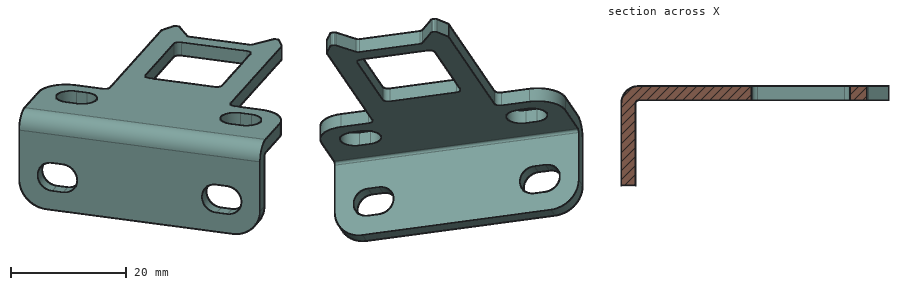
import cadquery as cq

sheet = 2.5
width = 44.0
depth = 46.2
height = 17.2
outer_bend_radius = 3.0
inner_bend_radius = outer_bend_radius - sheet
corner_radius = 5.0

slot_spacing = 30.0
slot_length = 7.2
slot_width = 5.2
plate_slot_from_front = 10.2
flange_slot_from_top = 11.0

shoulder_from_front = 15.4
arm_width = 22.0
arm_root_radius = 1.0

tooth_flank_length = 2.6
tooth_tip_inset = 1.5
tooth_tip_width = 0.8
tooth_tip_radius = 0.3
notch_depth = 3.8
notch_width = 11.6
notch_radius = 0.7

window_width = 14.0
window_length = 17.0
window_from_front = 22.5
window_radius = 1.0



def bent_sheet():
    """L-shaped sheet with a rounded bend, across the full width."""
    profile = (
        cq.Workplane("YZ")
        .moveTo(depth, 0)
        .lineTo(outer_bend_radius, 0)
        .radiusArc((0, -outer_bend_radius), -outer_bend_radius)
        .lineTo(0, -height)
        .lineTo(sheet, -height)
        .lineTo(sheet, -outer_bend_radius)
        .radiusArc((outer_bend_radius, -sheet), inner_bend_radius)
        .lineTo(depth, -sheet)
        .close()
    )
    return profile.extrude(width / 2, both=True)


def round_corners(body, x, y, radius):
    """Round the two mirrored vertical edges at (x, y) and (-x, y)."""
    for side in (-1, 1):
        corner = cq.selectors.NearestToPointSelector((side * x, y, -height / 2))
        body = body.edges("|Z").edges(corner).fillet(radius)
    return body


def plate_blank():
    """Flat outline of the horizontal leg, as a prism over the full height."""
    half_arm = arm_width / 2
    tip_outer = half_arm - tooth_tip_inset
    tip_inner = tip_outer - tooth_tip_width
    flank_start = depth - tooth_flank_length
    notch_floor = depth - notch_depth
    right_side = [
        (width / 2, 0),
        (width / 2, shoulder_from_front),
        (half_arm, shoulder_from_front),
        (half_arm, flank_start),
        (tip_outer, depth),
        (tip_inner, depth),
        (notch_width / 2, notch_floor),
    ]
    left_side = [(-x, y) for x, y in reversed(right_side)]
    blank = cq.Workplane("XY").polyline(right_side + left_side).close().extrude(-height)
    blank = round_corners(blank, width / 2, shoulder_from_front, corner_radius)
    blank = round_corners(blank, half_arm, shoulder_from_front, arm_root_radius)
    blank = round_corners(blank, notch_width / 2, notch_floor, notch_radius)
    blank = round_corners(blank, tip_outer, depth, tooth_tip_radius)
    return round_corners(blank, tip_inner, depth, tooth_tip_radius)


def slot_pair(plane, distance):
    """Cutters for two slots, centred the given distance along the plane's local y axis."""
    half_spacing = slot_spacing / 2
    return (
        cq.Workplane(plane)
        .pushPoints([(-half_spacing, distance), (half_spacing, distance)])
        .slot2D(slot_length, slot_width)
        .extrude(-sheet)
    )


def window():
    """Cutter for the rectangular opening with rounded corners."""
    return (
        cq.Workplane("XY")
        .center(0, window_from_front + window_length / 2)
        .rect(window_width, window_length)
        .extrude(-sheet)
        .edges("|Z")
        .fillet(window_radius)
    )


result = bent_sheet().intersect(plate_blank())
result = result.edges("|Y").edges("<Z").fillet(corner_radius)
result = result.cut(slot_pair("XY", plate_slot_from_front))
result = result.cut(slot_pair("XZ", -flange_slot_from_top))
result = result.cut(window())